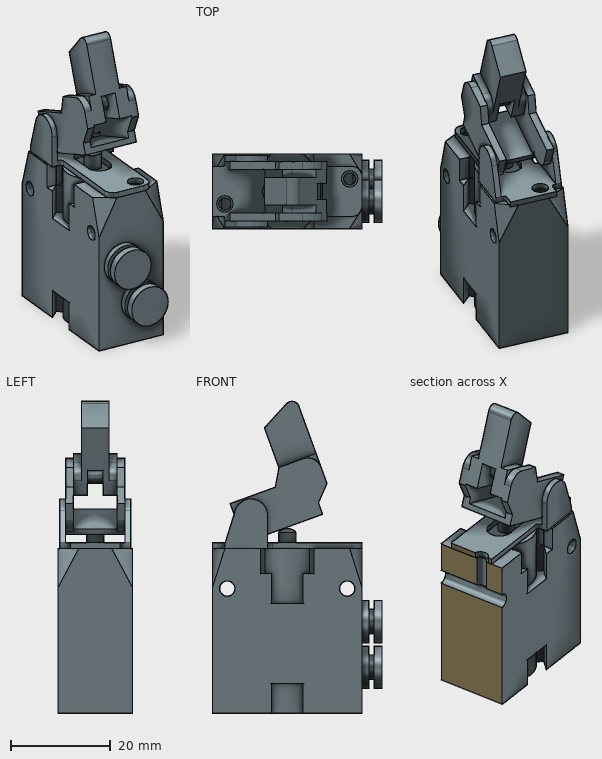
import cadquery as cq
import math

OVERALL_HEIGHT = 62.55

BODY_LENGTH = 30.0
BODY_WIDTH = 15.0
BODY_HEIGHT = 33.0
HALF_WIDTH = BODY_WIDTH / 2
MID_X = BODY_LENGTH / 2

CORNER_ALONG_X = 2.5
CORNER_ALONG_Y = 4.2
CORNER_DROP = 7.9

MOUNT_DIAMETER = 3.0
MOUNT_INSET = 3.0
MOUNT_Z = 25.0

CORE_DIAMETER = 12.0
DIAMOND_SIDE = 7.55
LOWER_POCKET_TOP = 6.0
UPPER_POCKET_FLOOR = 22.0
WIDE_POCKET_FLOOR = 28.0
WIDE_POCKET_LENGTH = 10.65
WIDE_POCKET_BACK_Y = 4.0

FLANGE_DIAMETER = 8.5
NECK_DIAMETER = 5.0
INNER_FLANGE_LENGTH = 1.3
NECK_LENGTH = 1.05
OUTER_FLANGE_LENGTH = 1.6
LOWER_FITTING_Z = 9.25
FITTING_RISE = 9.15
FITTING_OFFSET_Y = 2.0

PLUNGER_DIAMETER = 3.5
PLUNGER_SHOULDER_Z = 36.3
DOME_HEIGHT = 0.8

PIVOT_X = 7.75
PIVOT_Z = 39.65

SHEET = 1.2
PLATE_WIDTH = 10.0
PLATE_CORNER_RADIUS = 2.0
PLATE_OPENING_LENGTH = 9.9
PLATE_OPENING_WIDTH = 5.0
EAR_INNER_Y = 5.95
EAR_OUTER_Y = EAR_INNER_Y + SHEET
EAR_START_X = 2.55
EAR_RADIUS = 3.3
EAR_END_X = PIVOT_X + EAR_RADIUS
FRONT_RELIEF_RADIUS = 0.5
REAR_RELIEF_RADIUS = 0.95
PLATE_TOP = BODY_HEIGHT + SHEET

SCREW_CLEARANCE = 3.25
SCREW_BORE = 2.45
SCREW_BORE_DEPTH = 7.0
SCREW_INSET_X = 2.5
SCREW_OFFSET_Y = 2.5

TILT = 20.0
LEVER_WIDTH = 2 * EAR_INNER_Y
ARM_THICKNESS = 1.55
CHANNEL_WIDTH = LEVER_WIDTH - 2 * ARM_THICKNESS
HEEL_RADIUS = 3.1
ARM_TOP = 3.7
STEP_U = 6.5
WEB_START_U = 1.7
WEB_END_U = 13.6
WEB_BOTTOM = -4.7
WEB_THICKNESS = 1.2
NOTCH_V = -2.25
ARM_TIP_V = 0.8
HEAD_CORNER_RADIUS = 2.95

HEAD_LEFT_U = 8.5
HEAD_RIGHT_U = 16.5
HEAD_TOP = 7.1
FINGER_WIDTH = 5.55
FINGER_SHOULDER_V = 15.6
FINGER_TIP_RADIUS = 1.5
FINGER_BOTTOM = 1.2
KNUCKLE_TOP = 7.2
KNUCKLE_RADIUS = 2.9
FINGER_SLOT_WIDTH = 3.2
FINGER_SLOT_TOP = 6.5
PIN_DIAMETER = 3.0


def box(x_range, y_range, z_range):
    """Box given by its lower and upper limits along X, Y and Z."""
    size = [high - low for low, high in (x_range, y_range, z_range)]
    corner = cq.Vector(x_range[0], y_range[0], z_range[0])
    return cq.Workplane(cq.Solid.makeBox(*size, corner))


def upright_cylinder(x, y, diameter, bottom, top):
    """Cylinder with its axis along Z."""
    base = cq.Workplane("XY", origin=(x, y, bottom))
    return base.circle(diameter / 2).extrude(top - bottom)


def tangent_point(start, center, radius):
    """Where a line from the start point touches the upper left side of a circle."""
    run = center[0] - start[0]
    rise = center[1] - start[1]
    slope = math.atan2(rise, run) + math.asin(radius / math.hypot(run, rise))
    return (center[0] - radius * math.sin(slope), center[1] + radius * math.cos(slope))


def corner_cut(x_side, y_side):
    """Wedge that slopes off one upper corner; the sides are -1 or 1."""
    corner_x = MID_X + x_side * MID_X
    corner_y = y_side * HALF_WIDTH
    triangle = [
        (corner_x, corner_y),
        (corner_x - x_side * CORNER_ALONG_X, corner_y),
        (corner_x, corner_y - y_side * CORNER_ALONG_Y),
    ]
    top = [cq.Vector(x, y, BODY_HEIGHT) for x, y in triangle]
    foot = cq.Vector(corner_x, corner_y, BODY_HEIGHT - CORNER_DROP)
    facets = [
        (top[0], top[1], top[2]),
        (top[0], top[1], foot),
        (top[1], top[2], foot),
        (top[2], top[0], foot),
    ]
    faces = [cq.Face.makeFromWires(cq.Wire.makePolygon(facet, close=True)) for facet in facets]
    return cq.Workplane(cq.Solid.makeSolid(cq.Shell.makeShell(faces)))


def side_pocket(y_side):
    """Pockets of one side: two diamond slots and a wide slot, all stopping at the round core."""
    reach = DIAMOND_SIDE * math.sqrt(2) / 2
    diamond = [(0, 0), (reach, y_side * reach), (0, 2 * y_side * reach), (-reach, y_side * reach)]

    def diamond_slot(bottom, top):
        base = cq.Workplane("XY", origin=(MID_X, 0, bottom))
        return base.polyline(diamond).close().extrude(top - bottom)

    lower = diamond_slot(0, LOWER_POCKET_TOP)
    upper = diamond_slot(UPPER_POCKET_FLOOR, BODY_HEIGHT)
    y_limits = sorted((y_side * WIDE_POCKET_BACK_Y, y_side * HALF_WIDTH))
    half_length = WIDE_POCKET_LENGTH / 2
    wide = box((MID_X - half_length, MID_X + half_length), y_limits, (WIDE_POCKET_FLOOR, BODY_HEIGHT))
    core = upright_cylinder(MID_X, 0, CORE_DIAMETER, 0, BODY_HEIGHT)
    return lower.union(upper).union(wide).cut(core)


def valve_block():
    block = box((0, BODY_LENGTH), (-HALF_WIDTH, HALF_WIDTH), (0, BODY_HEIGHT))
    for y_side in (-1, 1):
        block = block.cut(side_pocket(y_side))
        for x_side in (-1, 1):
            block = block.cut(corner_cut(x_side, y_side))
    mount_places = [(MOUNT_INSET, MOUNT_Z), (BODY_LENGTH - MOUNT_INSET, MOUNT_Z)]
    mount_holes = (
        cq.Workplane("XZ")
        .pushPoints(mount_places)
        .circle(MOUNT_DIAMETER / 2)
        .extrude(HALF_WIDTH, both=True)
    )
    return block.cut(mount_holes)


def fitting(y, z):
    """Two flanges with a narrower neck between them, along +X from the end of the block."""
    base = cq.Workplane("YZ", origin=(BODY_LENGTH, y, z))
    return (
        base.circle(FLANGE_DIAMETER / 2)
        .extrude(INNER_FLANGE_LENGTH)
        .faces(">X")
        .workplane()
        .circle(NECK_DIAMETER / 2)
        .extrude(NECK_LENGTH)
        .faces(">X")
        .workplane()
        .circle(FLANGE_DIAMETER / 2)
        .extrude(OUTER_FLANGE_LENGTH)
    )


def plunger():
    """Round plunger with a domed end, standing on the block."""
    radius = PLUNGER_DIAMETER / 2
    dome_radius = (radius**2 + DOME_HEIGHT**2) / (2 * DOME_HEIGHT)
    top = PLUNGER_SHOULDER_Z + DOME_HEIGHT
    middle_of_arc = (radius / 2, top - dome_radius + math.sqrt(dome_radius**2 - (radius / 2) ** 2))
    half_profile = (
        cq.Workplane("XZ", origin=(MID_X, 0, 0))
        .moveTo(0, BODY_HEIGHT)
        .lineTo(radius, BODY_HEIGHT)
        .lineTo(radius, PLUNGER_SHOULDER_Z)
        .threePointArc(middle_of_arc, (0, top))
        .close()
    )
    return half_profile.revolve(axisStart=(0, 0), axisEnd=(0, 1))


def plate():
    """Flat part of the bracket: a neck to each ear with rounded reliefs, and an opening for the plunger."""
    sheet = box((0, BODY_LENGTH), (-PLATE_WIDTH / 2, PLATE_WIDTH / 2), (BODY_HEIGHT, PLATE_TOP))
    sheet = sheet.edges("|Z and >X").fillet(PLATE_CORNER_RADIUS)
    neck = box((EAR_START_X, EAR_END_X), (-EAR_OUTER_Y, EAR_OUTER_Y), (BODY_HEIGHT, PLATE_TOP))
    sheet = sheet.union(neck)
    middle_z = BODY_HEIGHT + SHEET / 2
    for x, radius in ((EAR_START_X, FRONT_RELIEF_RADIUS), (EAR_END_X, REAR_RELIEF_RADIUS)):
        for y in (-PLATE_WIDTH / 2, PLATE_WIDTH / 2):
            inside_corner = cq.selectors.NearestToPointSelector((x, y, middle_z))
            sheet = sheet.edges(inside_corner).fillet(radius)
    opening = (
        cq.Workplane("XY", origin=(MID_X, 0, BODY_HEIGHT))
        .slot2D(PLATE_OPENING_LENGTH, PLATE_OPENING_WIDTH)
        .extrude(SHEET)
    )
    return sheet.cut(opening)


def ear(inner_y):
    """Upright ear with one upright edge, one sloping edge and a round top about the pivot."""
    foot = (EAR_START_X, PLATE_TOP)
    tangent = tangent_point(foot, (PIVOT_X, PIVOT_Z), EAR_RADIUS)
    outline = (
        cq.Workplane("XZ", origin=(0, inner_y + SHEET, 0))
        .moveTo(*foot)
        .lineTo(*tangent)
        .threePointArc((PIVOT_X, PIVOT_Z + EAR_RADIUS), (EAR_END_X, PIVOT_Z))
        .lineTo(EAR_END_X, PLATE_TOP)
        .close()
    )
    return outline.extrude(SHEET)


def arm_channel():
    """Two side arms joined along their bottom by the web."""
    heel_drop = -math.sqrt(HEEL_RADIUS**2 - WEB_START_U**2)
    heel_middle = -HEEL_RADIUS * math.sqrt(0.5)
    outline = (
        cq.Workplane("XZ")
        .moveTo(-HEEL_RADIUS, ARM_TOP)
        .lineTo(STEP_U, ARM_TOP)
        .lineTo(HEAD_LEFT_U, HEAD_TOP)
        .lineTo(HEAD_RIGHT_U, HEAD_TOP)
        .lineTo(HEAD_RIGHT_U, ARM_TIP_V)
        .lineTo(WEB_END_U, NOTCH_V)
        .lineTo(WEB_END_U, WEB_BOTTOM)
        .lineTo(WEB_START_U, WEB_BOTTOM)
        .lineTo(WEB_START_U, heel_drop)
        .threePointArc((heel_middle, heel_middle), (-HEEL_RADIUS, 0))
        .close()
    )
    arms = outline.extrude(LEVER_WIDTH / 2, both=True)
    head_corner = cq.selectors.NearestToPointSelector((HEAD_RIGHT_U, 0, HEAD_TOP))
    arms = arms.edges(head_corner).fillet(HEAD_CORNER_RADIUS)
    channel = box(
        (-HEEL_RADIUS, HEAD_RIGHT_U),
        (-CHANNEL_WIDTH / 2, CHANNEL_WIDTH / 2),
        (WEB_BOTTOM + WEB_THICKNESS, HEAD_TOP),
    )
    return arms.cut(channel)


def finger():
    """Narrow finger on a wider slotted knuckle, with the hinge pin crossing the slot."""
    tilt = math.radians(TILT)
    shoulder = (HEAD_LEFT_U, FINGER_SHOULDER_V)
    tip_u = HEAD_RIGHT_U - FINGER_TIP_RADIUS
    tip_height = OVERALL_HEIGHT - FINGER_TIP_RADIUS - PIVOT_Z
    tip_v = (tip_height - tip_u * math.sin(tilt)) / math.cos(tilt)
    highest = (tip_u + FINGER_TIP_RADIUS * math.sin(tilt), tip_v + FINGER_TIP_RADIUS * math.cos(tilt))
    blade_outline = (
        cq.Workplane("XZ")
        .moveTo(HEAD_LEFT_U, FINGER_BOTTOM)
        .lineTo(*shoulder)
        .lineTo(*tangent_point(shoulder, (tip_u, tip_v), FINGER_TIP_RADIUS))
        .threePointArc(highest, (HEAD_RIGHT_U, tip_v))
        .lineTo(HEAD_RIGHT_U, FINGER_BOTTOM)
        .close()
    )
    blade = blade_outline.extrude(FINGER_WIDTH / 2, both=True)

    half_channel = CHANNEL_WIDTH / 2
    knuckle = box((HEAD_LEFT_U, HEAD_RIGHT_U), (-half_channel, half_channel), (FINGER_BOTTOM, KNUCKLE_TOP))
    knuckle = knuckle.edges("|Y and <X and >Z").fillet(KNUCKLE_RADIUS)

    half_slot = FINGER_SLOT_WIDTH / 2
    slot = box((HEAD_LEFT_U, HEAD_RIGHT_U), (-half_slot, half_slot), (FINGER_BOTTOM, FINGER_SLOT_TOP))
    pin_place = (HEAD_LEFT_U + KNUCKLE_RADIUS, KNUCKLE_TOP - KNUCKLE_RADIUS)
    pin_circle = cq.Workplane("XZ").center(*pin_place).circle(PIN_DIAMETER / 2)
    pin = pin_circle.extrude(half_channel, both=True)
    return blade.union(knuckle).cut(slot).union(pin)


def lever():
    channel = arm_channel().union(finger())
    return channel.rotate((0, 0, 0), (0, 1, 0), -TILT).translate((PIVOT_X, 0, PIVOT_Z))


def screw_drills(diameter, bottom, top):
    """Cylinders for the two screw holes, diagonally opposite each other."""
    first = upright_cylinder(SCREW_INSET_X, -SCREW_OFFSET_Y, diameter, bottom, top)
    second = upright_cylinder(BODY_LENGTH - SCREW_INSET_X, SCREW_OFFSET_Y, diameter, bottom, top)
    return first.union(second)


def make_valve():
    """Block with its fittings and plunger."""
    valve = valve_block()
    valve = valve.union(fitting(FITTING_OFFSET_Y, LOWER_FITTING_Z))
    valve = valve.union(fitting(-FITTING_OFFSET_Y, LOWER_FITTING_Z + FITTING_RISE))
    valve = valve.union(plunger())
    return valve.cut(screw_drills(SCREW_BORE, BODY_HEIGHT - SCREW_BORE_DEPTH, BODY_HEIGHT))


def make_actuator():
    """Bracket that sits on the block and carries the lever between its ears."""
    actuator = plate().cut(screw_drills(SCREW_CLEARANCE, BODY_HEIGHT, PLATE_TOP))
    for inner_y in (-EAR_OUTER_Y, EAR_INNER_Y):
        actuator = actuator.union(ear(inner_y))
    return actuator.union(lever())


valve = make_valve()
actuator = make_actuator()

result = cq.Compound.makeCompound([valve.solids().val(), actuator.solids().val()])